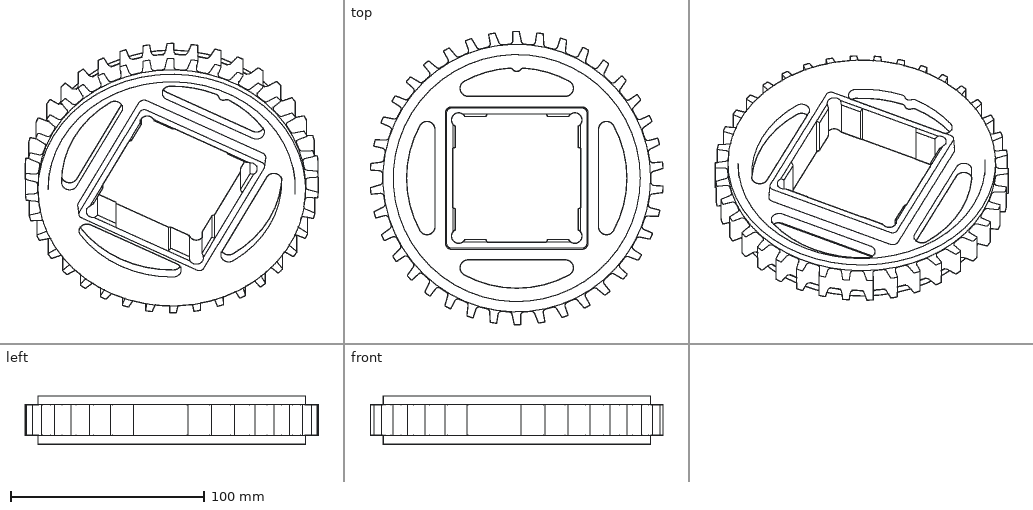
import cadquery as cq
import math

height = 25.0
tooth_height = 16.0
web_thickness = 7.5

rim_radius = 69.2

tooth_count = 38
tip_radius = 75.9
tip_round = 0.5
root_step = 0.2
root_radius = rim_radius + root_step
gap_round = 1.7
gap_floor_half = 0.5
gap_corner_rise = 0.08
sloped_foot = -3.0
sloped_tip = -5.0
steep_foot = 3.6
steep_tip = 4.1
pitch_angle = 360 / tooth_count

rim_bore_radius = 63.9
rim_mouth_round = 1.8
web_fillet = 3.2

slot_outer_radius = 57.0
slot_inner_offset = 42.4
slot_end_radius = 4.1

pointer_depth = 1.8
pointer_half_width = 3.6

hub_half_top = 36.3
hub_half_bottom = 36.9
hub_corner_round = 3.2
bore_half = 33.1
bore_corner_radius = 3.6
bore_corner_centre = 30.0

pad_thickness = 1.4
pad_inner_end = 16.0
pad_outer_end = bore_corner_centre
pad_end_taper = 0.6
pad_chamfer_depth = 1.5

overlap = 1.5


class OutsideRadius(cq.Selector):
    """Edges whose centre lies farther from the Z axis than a given radius."""

    def __init__(self, radius):
        self.radius = radius

    def filter(self, edges):
        return [edge for edge in edges if math.hypot(edge.Center().x, edge.Center().y) > self.radius]


def toothed_band():
    """Disc with asymmetric tooth gaps; a tooth is centred on the +Y axis."""
    corner_y = root_radius + gap_corner_rise
    outer_y = tip_radius + overlap
    stretch = (outer_y - corner_y) / (tip_radius - corner_y)
    gap = (
        cq.Workplane("XY")
        .polyline([
            (sloped_foot + (sloped_tip - sloped_foot) * stretch, outer_y),
            (sloped_foot, corner_y),
            (-gap_floor_half, root_radius),
            (gap_floor_half, root_radius),
            (steep_foot, corner_y),
            (steep_foot + (steep_tip - steep_foot) * stretch, outer_y),
        ])
        .close()
        .extrude(tooth_height / 2, both=True)
    )
    for foot in (sloped_foot, steep_foot):
        gap = gap.edges(cq.NearestToPointSelector((foot, corner_y, 0))).fillet(gap_round)

    band = cq.Workplane("XY").circle(tip_radius).extrude(tooth_height / 2, both=True)
    gaps = [
        gap.rotate((0, 0, 0), (0, 0, 1), (index + 0.5) * pitch_angle).val()
        for index in range(tooth_count)
    ]
    band = band.cut(cq.Compound.makeCompound(gaps))
    return band.edges("|Z").edges(OutsideRadius(tip_radius - tip_round)).fillet(tip_round)


def rim_recess():
    """Round pocket above the web: blended floor, straight wall, rounded mouth."""
    floor_z = web_thickness / 2
    top_z = height / 2
    floor_radius = rim_bore_radius - web_fillet
    blend = web_fillet * math.sqrt(0.5)
    mouth = rim_mouth_round * math.sqrt(0.5)
    return (
        cq.Workplane("XZ")
        .moveTo(0, floor_z)
        .lineTo(floor_radius, floor_z)
        .threePointArc(
            (floor_radius + blend, floor_z + web_fillet - blend),
            (rim_bore_radius, floor_z + web_fillet),
        )
        .lineTo(rim_bore_radius, top_z - rim_mouth_round)
        .threePointArc(
            (rim_bore_radius + rim_mouth_round - mouth, top_z - rim_mouth_round + mouth),
            (rim_bore_radius + rim_mouth_round, top_z),
        )
        .lineTo(0, top_z)
        .close()
        .revolve(360, (0, 0, 0), (0, 1, 0))
    )


def slot():
    """Window on the +Y side: straight inside, round outside, rounded ends."""
    end_y = slot_inner_offset + slot_end_radius
    centre_radius = slot_outer_radius - slot_end_radius
    end_x = math.sqrt(centre_radius**2 - end_y**2)
    reach = slot_outer_radius / centre_radius
    return (
        cq.Workplane("XY")
        .moveTo(-end_x, slot_inner_offset)
        .lineTo(end_x, slot_inner_offset)
        .threePointArc((end_x + slot_end_radius, end_y), (end_x * reach, end_y * reach))
        .threePointArc((0, slot_outer_radius), (-end_x * reach, end_y * reach))
        .threePointArc((-end_x - slot_end_radius, end_y), (-end_x, slot_inner_offset))
        .close()
        .extrude(web_thickness, both=True)
    )


def index_pointer():
    """Rounded bump on the outer side of the +Y slot, blended into it by equal reverse arcs."""
    turn = 2 * math.atan(pointer_depth / pointer_half_width)
    arc_radius = pointer_half_width / (2 * math.sin(turn))
    quarter_x = arc_radius * math.sin(turn / 2)
    quarter_y = arc_radius * (1 - math.cos(turn / 2))
    middle_x = pointer_half_width / 2
    base_y = math.sqrt(slot_outer_radius**2 - pointer_half_width**2)
    tip_y = slot_outer_radius - pointer_depth
    middle_y = (base_y + tip_y) / 2
    root_y = slot_outer_radius + overlap
    return (
        cq.Workplane("XY")
        .moveTo(-pointer_half_width, root_y)
        .lineTo(-pointer_half_width, base_y)
        .threePointArc((-pointer_half_width + quarter_x, base_y - quarter_y), (-middle_x, middle_y))
        .threePointArc((0, tip_y), (middle_x, middle_y))
        .threePointArc((pointer_half_width - quarter_x, base_y - quarter_y), (pointer_half_width, base_y))
        .lineTo(pointer_half_width, root_y)
        .close()
        .extrude(web_thickness / 2, both=True)
    )


def hub_half():
    """Drafted square block standing on the web, reaching the top face."""
    rise = (height - web_thickness) / 2
    draft = math.degrees(math.atan((hub_half_bottom - hub_half_top) / rise))
    outline = cq.Sketch().rect(2 * hub_half_bottom, 2 * hub_half_bottom)
    outline = outline.vertices().fillet(hub_corner_round)
    return (
        cq.Workplane("XY", origin=(0, 0, web_thickness / 2))
        .placeSketch(outline)
        .extrude(rise, taper=draft)
    )


def contact_pad():
    """Pad on the +Y bore wall, at +X, with a tapered inner end and chamfered ends."""
    face_y = bore_half - pad_thickness
    half = height / 2
    plan = (
        cq.Workplane("XY")
        .polyline([
            (pad_inner_end - pad_end_taper, bore_half),
            (pad_inner_end, face_y),
            (pad_outer_end, face_y),
            (pad_outer_end, bore_half),
        ])
        .close()
        .extrude(half, both=True)
    )
    profile = (
        cq.Workplane("YZ")
        .polyline([
            (bore_half, -half),
            (face_y, -half + pad_chamfer_depth),
            (face_y, half - pad_chamfer_depth),
            (bore_half, half),
        ])
        .close()
        .extrude(bore_half)
    )
    return plan.intersect(profile)


def square_bore():
    """Through opening with round corner reliefs, less the eight contact pads."""
    bore = cq.Workplane("XY").rect(2 * bore_half, 2 * bore_half).extrude(height / 2, both=True)
    bore = bore.edges("|Z").fillet(bore_corner_radius)
    pad = contact_pad()
    for side in range(4):
        for mate in (pad, pad.mirror("YZ")):
            bore = bore.cut(mate.rotate((0, 0, 0), (0, 0, 1), 90 * side))
    reliefs = (
        cq.Workplane("XY")
        .rect(2 * bore_corner_centre, 2 * bore_corner_centre, forConstruction=True)
        .vertices()
        .circle(bore_corner_radius)
        .extrude(height / 2, both=True)
    )
    return bore.union(reliefs)


body = cq.Workplane("XY").circle(rim_radius).extrude(height / 2, both=True).union(toothed_band())

recess = rim_recess()
body = body.cut(recess).cut(recess.mirror("XY"))

window = slot()
for quarter in range(4):
    body = body.cut(window.rotate((0, 0, 0), (0, 0, 1), 90 * quarter))
body = body.union(index_pointer())

hub = hub_half()
body = body.union(hub).union(hub.mirror("XY"))

result = body.cut(square_bore())